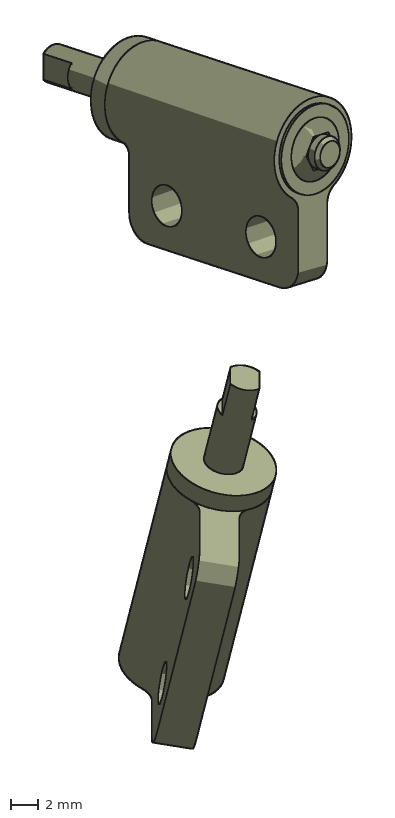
import cadquery as cq
import math

overall_length = 29.3
shaft_length = 8.0
flat_length = 3.0
cap_thickness = 1.5
rear_disc_thickness = 0.23
taper_length = 0.62
tip_length = 0.97
tip_chamfer = 0.3

barrel_diameter = 8.0
shaft_diameter = 3.0
flat_width = 2.2
rear_disc_diameter = 6.97
taper_base_diameter = 4.92
tip_diameter = 2.65

lug_thickness = 3.0
lug_depth = 11.0
lug_corner_radius = 2.0
blend_radius = 1.5
hole_diameter = 3.2
hole_spacing = 10.0
hole_inset = 4.0
hole_depth_below_axis = 7.5

cap_start = shaft_length
barrel_start = cap_start + cap_thickness
tip_start = overall_length - tip_length
taper_start = tip_start - taper_length
barrel_end = taper_start - rear_disc_thickness
barrel_length = barrel_end - barrel_start
barrel_radius = barrel_diameter / 2

TAPER_SIDES = 6


def axial_cylinder(start, length, diameter):
    return cq.Workplane("YZ", origin=(start, 0, 0)).circle(diameter / 2).extrude(length)


def polar(radius, degrees):
    angle = math.radians(degrees)
    return (radius * math.cos(angle), radius * math.sin(angle))


def make_lug():
    """Plate that widens in two concave arcs tangent to the barrel and to the plate sides."""
    half = lug_thickness / 2
    blend_center_y = half + blend_radius
    center_distance = barrel_radius + blend_radius
    blend_center_z = -math.sqrt(center_distance**2 - blend_center_y**2)
    contact_y = blend_center_y * barrel_radius / center_distance
    contact_z = blend_center_z * barrel_radius / center_distance

    contact_angle = 180 - math.degrees(math.atan2(-blend_center_z, blend_center_y))
    offset_y, offset_z = polar(blend_radius, (180 + contact_angle) / 2)
    middle_y = blend_center_y + offset_y
    middle_z = blend_center_z + offset_z

    plate = (
        cq.Workplane("YZ", origin=(barrel_start, 0, 0))
        .moveTo(-half, -lug_depth)
        .lineTo(half, -lug_depth)
        .lineTo(half, blend_center_z)
        .threePointArc((middle_y, middle_z), (contact_y, contact_z))
        .lineTo(0, 0)
        .lineTo(-contact_y, contact_z)
        .threePointArc((-middle_y, middle_z), (-half, blend_center_z))
        .close()
        .extrude(barrel_length)
    )
    return plate.faces("<Z").edges("|Y").fillet(lug_corner_radius)


def cut_mounting_holes(body):
    first_x = barrel_start + hole_inset
    centers = [(first_x + i * hole_spacing, -hole_depth_below_axis) for i in range(2)]
    holes = (
        cq.Workplane("XZ", origin=(0, lug_thickness / 2, 0))
        .pushPoints(centers)
        .circle(hole_diameter / 2)
        .extrude(lug_thickness)
    )
    return body.cut(holes)


def make_taper():
    """Transition from a round base to a hexagon whose flats touch the round tip."""
    step = 360 / TAPER_SIDES
    base_radius = taper_base_diameter / 2
    corner_radius = tip_diameter / 2 / math.cos(math.pi / TAPER_SIDES)

    base = cq.Workplane("YZ", origin=(taper_start, 0, 0)).moveTo(base_radius, 0)
    for i in range(TAPER_SIDES):
        middle = polar(base_radius, (i + 0.5) * step)
        end = polar(base_radius, (i + 1) * step)
        base = base.threePointArc(middle, end)
    round_wire = base.close().val()

    hexagon_wire = (
        cq.Workplane("YZ", origin=(tip_start, 0, 0))
        .polygon(TAPER_SIDES, 2 * corner_radius)
        .val()
    )
    return cq.Workplane(cq.Solid.makeLoft([round_wire, hexagon_wire], True))


def make_tip():
    """Round end stub with a chamfered rim, revolved about the barrel axis."""
    radius = tip_diameter / 2
    return (
        cq.Workplane("XY")
        .moveTo(tip_start, 0)
        .lineTo(tip_start, radius)
        .lineTo(overall_length - tip_chamfer, radius)
        .lineTo(overall_length, radius - tip_chamfer)
        .lineTo(overall_length, 0)
        .close()
        .revolve(360, (0, 0, 0), (1, 0, 0))
    )


def make_housing():
    barrel = axial_cylinder(barrel_start, barrel_length, barrel_diameter)
    rear_disc = axial_cylinder(barrel_end, rear_disc_thickness, rear_disc_diameter)
    body = cut_mounting_holes(barrel.union(make_lug()))
    return body.union(rear_disc).union(make_taper()).union(make_tip())


def make_cap():
    ring = axial_cylinder(cap_start, cap_thickness, barrel_diameter)
    bore = axial_cylinder(cap_start, cap_thickness, shaft_diameter)
    return ring.cut(bore)


def make_shaft():
    """Round shaft through the cap, with two flats at its free end."""
    rod = axial_cylinder(0, barrel_start, shaft_diameter)
    flatted_end = axial_cylinder(0, flat_length, shaft_diameter)
    kept = cq.Workplane("XY").box(2 * flat_length, flat_width, shaft_diameter)
    return rod.cut(flatted_end.cut(kept))


housing = make_housing()
cap = make_cap()
shaft = make_shaft()

result = cq.Compound.makeCompound([body.solids().val() for body in (housing, cap, shaft)])